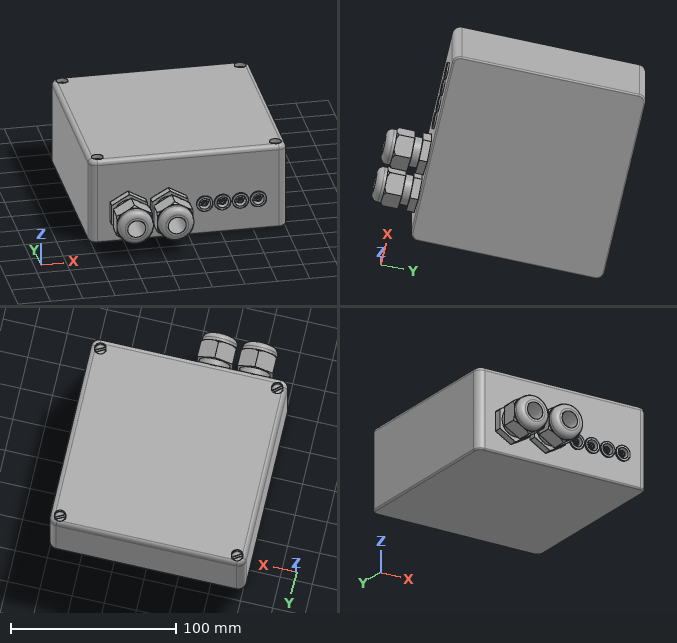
import cadquery as cq
import math

overall_depth = 147.0
box_width = 122.0
box_depth = 120.0
box_height = 55.0
corner_radius = 5.0
lid_edge_radius = 3.0
bottom_edge_radius = 1.0
front_y = -box_depth / 2

screw_inset = 6.0
screw_diameter = 7.0
screw_recess = 2.5
screw_head_height = 2.0
screw_edge_radius = 0.7
screw_slot_width = 1.3
screw_slot_depth = 1.0
screw_slot_angles = {(-1, -1): 40, (1, -1): 27, (-1, 1): 32, (1, 1): 27}

connector_height = 20.5

gland_positions = (-37.3, -12.3)
gland_across_flats = 22.0
hexagon_turn = 90
gland_flange_end = 5.0
gland_nut_start = 10.0
gland_nut_end = 21.2
gland_length = overall_depth - box_depth
gland_neck_diameter = 19.0
gland_cap_radius = 4.0
gland_bore_diameter = 11.0
gland_nut_face_diameter = 23.0
gland_bevel_angle = 45

socket_count = 4
socket_first_x = 10.0
socket_pitch = 11.0
socket_rim_diameter = 10.0
socket_rim_height = 1.0
socket_bore_diameter = 7.0
socket_bore_depth = 5.0
socket_core_diameter = 4.0
socket_core_recess = 1.0
socket_core_bore_diameter = 2.5
socket_pin_diameter = 1.0
socket_pin_recess = 1.5


def outward_plane(x, distance):
    """Plane facing -Y at a distance in front of the front wall."""
    origin = (x, front_y - distance, connector_height)
    return cq.Plane(origin=origin, xDir=(1, 0, 0), normal=(0, -1, 0))


def cylinder(x, start, end, diameter):
    """Cylinder along -Y between two distances from the front wall."""
    return cq.Workplane(outward_plane(x, start)).circle(diameter / 2).extrude(end - start)


def hexagon(x, start, end):
    """Hexagonal prism along -Y with a corner pointing up."""
    corner_diameter = gland_across_flats / math.cos(math.pi / 6)
    profile = cq.Workplane(outward_plane(x, start)).transformed(rotate=(0, 0, hexagon_turn))
    return profile.polygon(6, corner_diameter).extrude(end - start)


def make_enclosure():
    box = cq.Workplane("XY").box(box_width, box_depth, box_height, centered=(True, True, False))
    box = box.edges("|Z").fillet(corner_radius)
    box = box.faces(">Z").edges().fillet(lid_edge_radius)
    return box.faces("<Z").edges().fillet(bottom_edge_radius)


def add_screw(body, side_x, side_y, slot_angle):
    x = side_x * (box_width / 2 - screw_inset)
    y = side_y * (box_depth / 2 - screw_inset)
    head_top = box_height - screw_recess
    head_bottom = head_top - screw_head_height
    radius = screw_diameter / 2
    hole = cq.Workplane("XY", origin=(x, y, head_bottom)).circle(radius)
    hole = hole.extrude(box_height - head_bottom)
    head = cq.Workplane("XY", origin=(x, y, head_bottom)).circle(radius).extrude(screw_head_height)
    head = head.faces(">Z").edges().fillet(screw_edge_radius)
    slot = cq.Workplane("XY", origin=(x, y, head_top)).transformed(rotate=(0, 0, slot_angle))
    slot = slot.rect(screw_diameter, screw_slot_width).extrude(-screw_slot_depth)
    return body.cut(hole).union(head.cut(slot))


def make_gland(x):
    nut_length = gland_nut_end - gland_nut_start
    bevel = cq.Workplane(outward_plane(x, gland_nut_end)).circle(gland_nut_face_diameter / 2)
    bevel = bevel.extrude(-nut_length, taper=-gland_bevel_angle)
    nut = hexagon(x, gland_nut_start, gland_nut_end).intersect(bevel)
    cap = cylinder(x, gland_nut_start, gland_length, gland_across_flats)
    cap = cap.faces("<Y").edges().fillet(gland_cap_radius)
    neck = cylinder(x, 0, gland_nut_end, gland_neck_diameter)
    gland = hexagon(x, 0, gland_flange_end).union(neck).union(nut).union(cap)
    return gland.cut(cylinder(x, 0, gland_length, gland_bore_diameter))


def add_socket(body, x):
    floor = socket_rim_height - socket_bore_depth
    core_top = socket_rim_height - socket_core_recess
    pin_top = socket_rim_height - socket_pin_recess
    rim = cylinder(x, 0, socket_rim_height, socket_rim_diameter)
    bore = cylinder(x, floor, socket_rim_height, socket_bore_diameter)
    core = cylinder(x, floor, core_top, socket_core_diameter)
    core = core.cut(cylinder(x, floor, core_top, socket_core_bore_diameter))
    pin = cylinder(x, floor, pin_top, socket_pin_diameter)
    return body.union(rim).cut(bore).union(core).union(pin)


result = make_enclosure()
for (side_x, side_y), slot_angle in screw_slot_angles.items():
    result = add_screw(result, side_x, side_y, slot_angle)
for gland_x in gland_positions:
    result = result.union(make_gland(gland_x))
for index in range(socket_count):
    result = add_socket(result, socket_first_x + index * socket_pitch)